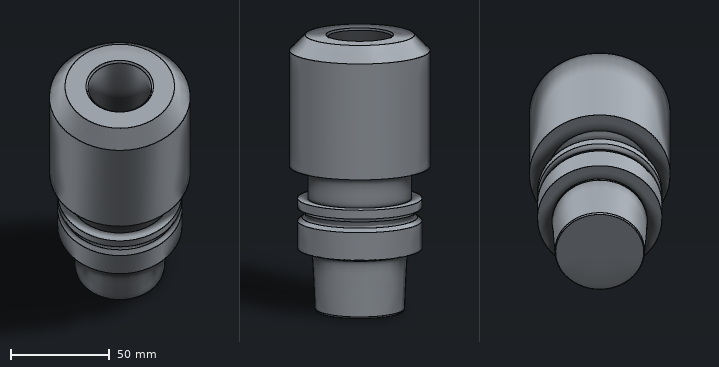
import cadquery as cq

total_height = 141.9

head_radius = 35.6
head_chamfer = 8.0
head_bottom = 74.2

bore_radius = 16.0
bore_chamfer = 1.0
bore_depth = total_height - head_bottom

neck_radius = 26.3

flange_radius = 31.5
flange_top = 57.8
flange_bottom = 31.9
groove_center = 49.7
groove_mouth_width = 7.0
groove_inner_width = 3.3
groove_floor_radius = 27.4
groove_ledge_radius = 29.2
groove_fillet = 0.9
groove_overcut = 1.4

relief_radius = 23.7
relief_bottom = 30.7
shank_top = 30.0
shank_top_radius = 24.1
shank_taper = 1 / 20
shank_chamfer_height = 1.0
shank_chamfer_width = 0.4


def revolve_profile(points):
    """Turn a closed (radius, height) profile into a solid about the Z axis."""
    return cq.Workplane("XZ").polyline(points).close().revolve(360, (0, 0, 0), (0, 1, 0))


def make_body():
    shank_cone_bottom_radius = shank_top_radius - shank_taper * (shank_top - shank_chamfer_height)
    return revolve_profile([
        (0, 0),
        (shank_cone_bottom_radius - shank_chamfer_width, 0),
        (shank_cone_bottom_radius, shank_chamfer_height),
        (shank_top_radius, shank_top),
        (relief_radius, relief_bottom),
        (relief_radius, flange_bottom),
        (flange_radius, flange_bottom),
        (flange_radius, flange_top),
        (neck_radius, flange_top),
        (neck_radius, head_bottom),
        (head_radius, head_bottom),
        (head_radius, total_height - head_chamfer),
        (head_radius - head_chamfer, total_height),
        (0, total_height),
    ])


def make_groove():
    """Ring that cuts the gripper groove, rounded at the lower corner of its floor."""
    half_mouth = groove_mouth_width / 2
    half_inner = groove_inner_width / 2
    outer_radius = flange_radius + groove_overcut
    ring = revolve_profile([
        (groove_floor_radius, groove_center - half_inner),
        (groove_ledge_radius, groove_center - half_inner),
        (flange_radius, groove_center - half_mouth),
        (outer_radius, groove_center - half_mouth),
        (outer_radius, groove_center + half_mouth),
        (flange_radius, groove_center + half_mouth),
        (groove_ledge_radius, groove_center + half_inner),
        (groove_floor_radius, groove_center + half_inner),
    ])
    floor_corners = ring.edges(cq.selectors.RadiusNthSelector(0))
    return floor_corners.edges("<Z").fillet(groove_fillet)


def make_bore():
    return revolve_profile([
        (0, total_height - bore_depth),
        (bore_radius, total_height - bore_depth),
        (bore_radius, total_height - bore_chamfer),
        (bore_radius + bore_chamfer, total_height),
        (0, total_height),
    ])


result = make_body().cut(make_groove()).cut(make_bore())